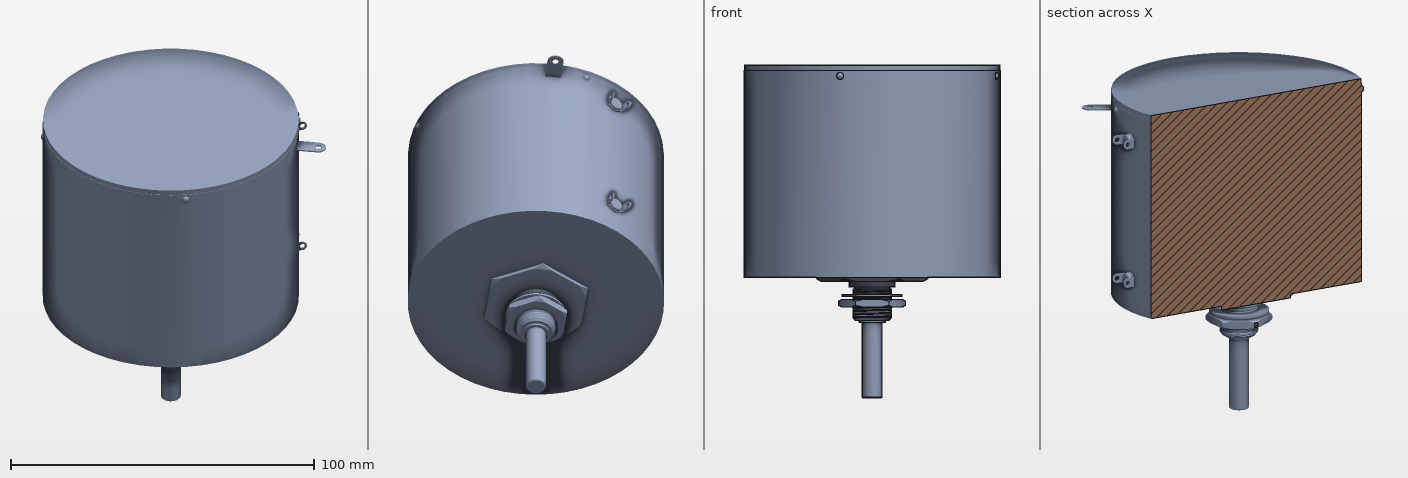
import cadquery as cq
import math


housing_radius = 42.2
housing_height = 70.0
lid_thickness = 1.8
lid_radius = 42.1

screw_count = 4
screw_first_angle = 75.5
screw_below_lid = 1.9
screw_radius = 1.2
screw_sunk_depth = 0.3

pin_hole_angle = 120
pin_hole_height = 10.9
pin_hole_diameter = 1.1
pin_hole_depth = 2.2

flange_across_flats = 31.8
flange_thickness = 1.3
flange_bottom_radius = 16.8
hex_chamfer_angle = 30
collar_radius = 7.6
collar_bottom = -3.1
thread_radius = 6.4
thread_root_radius = 6.1
thread_top = -3.7
thread_pitch = 1.04
thread_crest_flat = 0.6
relief_radius = 5.8
bushing_chamfer_top = -13.3
bushing_bottom = -14.3
bushing_end_radius = 5.5

shoulder_radius = 4.4
shoulder_bottom = -14.9
shaft_radius = 3.3
shaft_bottom = -39.7
shaft_chamfer = 0.3

washer_radius = 9.9
washer_top = -5.6
washer_thickness = 0.7
nut_across_flats = 19.1
nut_top = -7.2
nut_thickness = 2.5
nut_face_radius = 10.0

terminal_heights = (11.1, 58.7)
terminal_tip_y = 46.7
terminal_base_y = 42.3
terminal_gauge = 0.4
terminal_width = 3.1
terminal_base_half = 3.2
terminal_tip_half = 3.7
terminal_bend_radius = 0.5
terminal_hole_diameter = 1.8
terminal_pad_radius = 2.5
rivet_radius = 2.3
rivet_top_y = 43.9
rivet_chamfer = 0.3
embed_depth = 1.6

lug_angle = 60
lug_height = 63.9
lug_width = 5.3
lug_thickness = 0.4
lug_hole_radius_out = 49.1
lug_hole_diameter = 2.1


def cylinder(radius, z_low, z_high):
    return cq.Workplane("XY").workplane(offset=z_low).circle(radius).extrude(z_high - z_low)


def hexagon(across_flats, z_low, z_high):
    """Hexagonal prism with two corners on the X axis."""
    across_corners = across_flats / math.cos(math.pi / 6)
    return cq.Workplane("XY").workplane(offset=z_low).polygon(6, across_corners).extrude(z_high - z_low)


def corner_trim(across_flats, face_radius, z_low, z_high, both_faces):
    """Turned blank that bevels the corners of a hexagon at its lower face, or at both faces."""
    clearance = 1.1
    outer_radius = across_flats / math.sqrt(3) + clearance
    drop = (outer_radius - face_radius) * math.tan(math.radians(hex_chamfer_angle))
    blank_low = cq.Workplane("XZ").polyline([
        (0, z_low), (face_radius, z_low), (outer_radius, z_low + drop),
        (outer_radius, z_high + drop), (0, z_high + drop),
    ]).close().revolve(360, (0, 0), (0, 1))
    if not both_faces:
        return blank_low
    mid_height = (z_low + z_high) / 2
    blank_high = blank_low.mirror("XY", (0, 0, mid_height))
    return blank_low.intersect(blank_high)


def on_wall(body, angle, height):
    """Move a body built at the origin along +X to an angle and height on the housing."""
    return body.translate((0, 0, height)).rotate((0, 0, 0), (0, 0, 1), angle)


def make_case():
    lid_bottom = housing_height - lid_thickness
    wall = cylinder(housing_radius, 0, lid_bottom)
    return wall.union(cylinder(lid_radius, lid_bottom, housing_height))


def make_flange():
    blank = hexagon(flange_across_flats, -flange_thickness, 0)
    trim = corner_trim(flange_across_flats, flange_bottom_radius, -flange_thickness, 0, False)
    return blank.intersect(trim)


def make_groove_turn():
    """One turn of the right-hand helical V groove, starting at Z = 0."""
    crest_half_width = (thread_pitch - thread_crest_flat) / 2
    overcut = 0.3
    outer_radius = thread_radius + overcut * (thread_radius - thread_root_radius)
    outer_half_width = crest_half_width * (1 + overcut)
    helix = cq.Wire.makeHelix(thread_pitch, thread_pitch, thread_root_radius)
    profile = cq.Workplane("XZ").polyline([
        (thread_root_radius, 0), (outer_radius, outer_half_width), (outer_radius, -outer_half_width),
    ]).close()
    return profile.sweep(cq.Workplane(obj=helix), isFrenet=True)


def cut_thread(blank):
    """Cut the groove turn by turn, running out past both ends of the thread."""
    start_z = bushing_bottom - thread_pitch / 2
    turn_count = math.ceil((thread_top - start_z) / thread_pitch)
    groove_turn = make_groove_turn()
    for turn in range(turn_count):
        blank = blank.cut(groove_turn.translate((0, 0, start_z + turn * thread_pitch)))
    return blank


def make_bushing():
    blank = cq.Workplane("XZ").polyline([
        (0, collar_bottom), (relief_radius, collar_bottom), (relief_radius, thread_top),
        (thread_radius, thread_top), (thread_radius, bushing_chamfer_top),
        (bushing_end_radius, bushing_bottom), (0, bushing_bottom),
    ]).close().revolve(360, (0, 0), (0, 1))
    return cut_thread(blank).union(cylinder(collar_radius, collar_bottom, 0))


def make_shaft():
    shaft = cylinder(shaft_radius, shaft_bottom, 0).faces("<Z").chamfer(shaft_chamfer)
    return shaft.union(cylinder(shoulder_radius, shoulder_bottom, 0))


def make_screw_head(angle):
    head = cq.Workplane("XY").sphere(screw_radius).translate((housing_radius - screw_sunk_depth, 0, 0))
    return on_wall(head, angle, housing_height - lid_thickness - screw_below_lid)


def make_pin_hole():
    hole = cq.Workplane("YZ").workplane(offset=housing_radius - pin_hole_depth)
    hole = hole.circle(pin_hole_diameter / 2).extrude(2 * pin_hole_depth)
    return on_wall(hole, pin_hole_angle, pin_hole_height)


def y_disc(radius, y_low, y_high):
    """Round disc with its axis along Y."""
    return cq.Workplane("XZ").workplane(offset=-y_low).circle(radius).extrude(y_low - y_high)


def make_terminal(height):
    half_width = terminal_width / 2
    inner_base_y = terminal_base_y + terminal_gauge
    strip_plane = cq.Workplane("XY").workplane(offset=-half_width)
    outer = strip_plane.polyline([
        (-terminal_base_half, terminal_base_y), (terminal_base_half, terminal_base_y),
        (terminal_tip_half, terminal_tip_y), (-terminal_tip_half, terminal_tip_y),
    ]).close().extrude(terminal_width).edges("|Z and <Y").fillet(terminal_bend_radius)
    inner_base_half = terminal_base_half - terminal_gauge
    inner_tip_half = terminal_tip_half - terminal_gauge
    inner = strip_plane.polyline([
        (-inner_base_half, inner_base_y), (inner_base_half, inner_base_y),
        (inner_tip_half, terminal_tip_y), (-inner_tip_half, terminal_tip_y),
    ]).close().extrude(terminal_width)

    hole_y = terminal_tip_y - half_width
    span = 4 * terminal_tip_half
    across = cq.Workplane("YZ").workplane(offset=-span / 2)
    outline = (
        across.moveTo(terminal_base_y, -half_width).lineTo(hole_y, -half_width)
        .threePointArc((terminal_tip_y, 0), (hole_y, half_width))
        .lineTo(terminal_base_y, half_width).close().extrude(span)
    )
    holes = across.center(hole_y, 0).circle(terminal_hole_diameter / 2).extrude(span)
    strip = outer.cut(inner).intersect(outline).cut(holes)

    pad = y_disc(terminal_pad_radius, housing_radius - embed_depth, inner_base_y)
    rivet = y_disc(rivet_radius, inner_base_y, rivet_top_y).faces(">Y").chamfer(rivet_chamfer)
    return strip.union(pad).union(rivet).translate((0, 0, height))


def make_lug():
    half_width = lug_width / 2
    root_x = housing_radius - embed_depth
    sheet = (
        cq.Workplane("XY").workplane(offset=-lug_thickness / 2)
        .moveTo(root_x, -half_width).lineTo(lug_hole_radius_out, -half_width)
        .threePointArc((lug_hole_radius_out + half_width, 0), (lug_hole_radius_out, half_width))
        .lineTo(root_x, half_width).close().extrude(lug_thickness)
    )
    sheet = sheet.faces(">Z").workplane(origin=(lug_hole_radius_out, 0, 0)).hole(lug_hole_diameter)
    return on_wall(sheet, lug_angle, lug_height)


def make_potentiometer():
    body = make_case().cut(make_pin_hole())
    body = body.union(make_flange()).union(make_bushing()).union(make_shaft())
    for index in range(screw_count):
        body = body.union(make_screw_head(screw_first_angle + index * 360 / screw_count))
    for height in terminal_heights:
        body = body.union(make_terminal(height))
    return body.union(make_lug())


def make_washer():
    washer_bottom = washer_top - washer_thickness
    ring = cylinder(washer_radius, washer_bottom, washer_top)
    return ring.cut(cylinder(thread_radius, washer_bottom, washer_top))


def make_nut():
    nut_bottom = nut_top - nut_thickness
    blank = hexagon(nut_across_flats, nut_bottom, nut_top)
    blank = blank.intersect(corner_trim(nut_across_flats, nut_face_radius, nut_bottom, nut_top, True))
    return blank.cut(cylinder(thread_radius, nut_bottom, nut_top))


potentiometer = make_potentiometer()
washer = make_washer()
nut = make_nut()

result = cq.Compound.makeCompound([
    potentiometer.solids().val(),
    washer.solids().val(),
    nut.solids().val(),
])